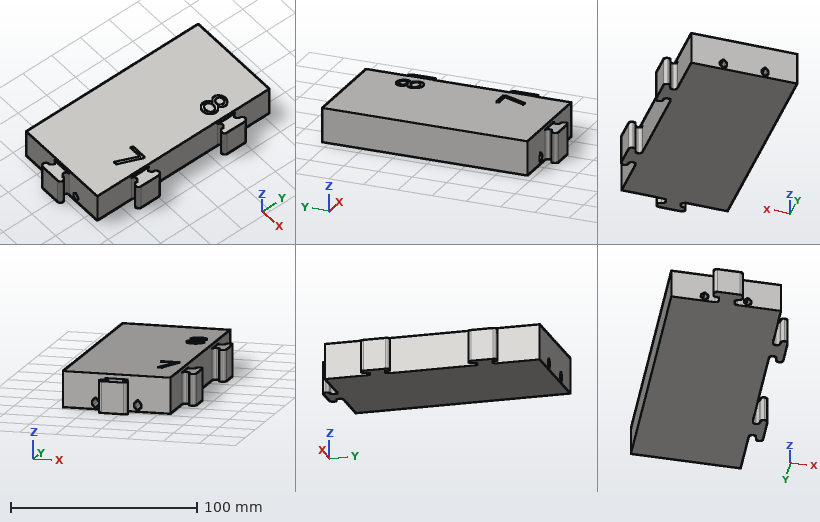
import cadquery as cq

SQUARE = 60.0
BLOCK_WIDTH = SQUARE
BLOCK_LENGTH = 2 * SQUARE
BLOCK_HEIGHT = 20.0

ROUND = 1.9
FLAT = 0.1
CONNECTOR_HEIGHT = 17.5
HEAD_HALF_WIDTH = 8.0
SHOULDER = HEAD_HALF_WIDTH - ROUND
NECK_HALF_WIDTH = SHOULDER - ROUND
HEAD_THICKNESS = 2 * ROUND + FLAT
REACH = 2 * HEAD_THICKNESS

CHANNEL_RADIUS = 2.0
CHANNEL_OFFSET = 11.8
CHANNEL_CENTER_Z = 3.6

DIGIT_DEPTH = 1.0
DIGIT_CENTER_X = 49.8

EIGHT_UPPER_Y = 93.9
EIGHT_LOWER_Y = 86.8
EIGHT_UPPER_OUTER = (4.5, 3.7)
EIGHT_UPPER_HOLE = (2.5, 2.4)
EIGHT_LOWER_OUTER = (4.9, 4.5)
EIGHT_LOWER_HOLE = (3.3, 2.7)

SEVEN_HALF_WIDTH = 5.0
SEVEN_TOP_Y = 37.4
SEVEN_HEIGHT = 14.8
SEVEN_BAR = 1.5
SEVEN_FOOT_LEFT = 2.0
SEVEN_FOOT_RIGHT = 4.2
SEVEN_INNER_CORNER = 7.9
SEVEN_OUTER_DROP = 1.3


def make_connector():
    """Connector standing out in +X from x = 0, centred on y = 0."""
    upper_half = (
        cq.Workplane("XY")
        .lineTo(REACH, 0)
        .lineTo(REACH, SHOULDER)
        .radiusArc((REACH - ROUND, HEAD_HALF_WIDTH), -ROUND)
        .hLine(-FLAT)
        .radiusArc((HEAD_THICKNESS, SHOULDER), -ROUND)
        .radiusArc((ROUND + FLAT, NECK_HALF_WIDTH), ROUND)
        .hLine(-FLAT)
        .radiusArc((0, SHOULDER), ROUND)
        .close()
        .extrude(CONNECTOR_HEIGHT)
    )
    return upper_half.union(upper_half.mirror("XZ")).clean()


def make_channel(center_x):
    side = CHANNEL_RADIUS * 0.5 ** 0.5
    tip = CHANNEL_RADIUS * 2 ** 0.5
    return (
        cq.Workplane("XZ", origin=(center_x, 0, CHANNEL_CENTER_Z))
        .moveTo(0, tip)
        .lineTo(side, side)
        .threePointArc((CHANNEL_RADIUS, 0), (side, -side))
        .lineTo(0, -tip)
        .lineTo(-side, -side)
        .threePointArc((-CHANNEL_RADIUS, 0), (-side, side))
        .close()
        .extrude(-BLOCK_LENGTH)
    )


def make_ellipse(center_y, half_sizes):
    return (
        cq.Workplane("XY", origin=(DIGIT_CENTER_X, center_y, BLOCK_HEIGHT))
        .ellipse(*half_sizes)
        .extrude(-DIGIT_DEPTH)
    )


def make_eight():
    return (
        make_ellipse(EIGHT_UPPER_Y, EIGHT_UPPER_OUTER)
        .union(make_ellipse(EIGHT_LOWER_Y, EIGHT_LOWER_OUTER))
        .cut(make_ellipse(EIGHT_UPPER_Y, EIGHT_UPPER_HOLE))
        .cut(make_ellipse(EIGHT_LOWER_Y, EIGHT_LOWER_HOLE))
    )


def make_seven():
    left = DIGIT_CENTER_X - SEVEN_HALF_WIDTH
    right = DIGIT_CENTER_X + SEVEN_HALF_WIDTH
    bottom = SEVEN_TOP_Y - SEVEN_HEIGHT
    outline = [
        (left, SEVEN_TOP_Y),
        (right, SEVEN_TOP_Y),
        (right, SEVEN_TOP_Y - SEVEN_OUTER_DROP),
        (left + SEVEN_FOOT_RIGHT, bottom),
        (left + SEVEN_FOOT_LEFT, bottom),
        (left + SEVEN_INNER_CORNER, SEVEN_TOP_Y - SEVEN_BAR),
        (left, SEVEN_TOP_Y - SEVEN_BAR),
    ]
    return (
        cq.Workplane("XY", origin=(0, 0, BLOCK_HEIGHT))
        .polyline(outline)
        .close()
        .extrude(-DIGIT_DEPTH)
    )


def make_block(digits):
    block = cq.Workplane("XY").box(BLOCK_WIDTH, BLOCK_LENGTH, BLOCK_HEIGHT, centered=False)
    for side in (-1, 1):
        block = block.cut(make_channel(BLOCK_WIDTH / 2 + side * CHANNEL_OFFSET))

    connector = make_connector()
    for row in (0, 1):
        block = block.union(connector.translate((BLOCK_WIDTH, (row + 0.5) * SQUARE, 0)))
    front_connector = connector.rotate((0, 0, 0), (0, 0, 1), -90)
    block = block.union(front_connector.translate((BLOCK_WIDTH / 2, 0, 0)))

    for digit in digits:
        block = block.cut(digit)
    return block


seven = make_seven()
eight = make_eight()
block = make_block([seven, eight])

result = cq.Compound.makeCompound([block.val(), seven.val(), eight.val()])